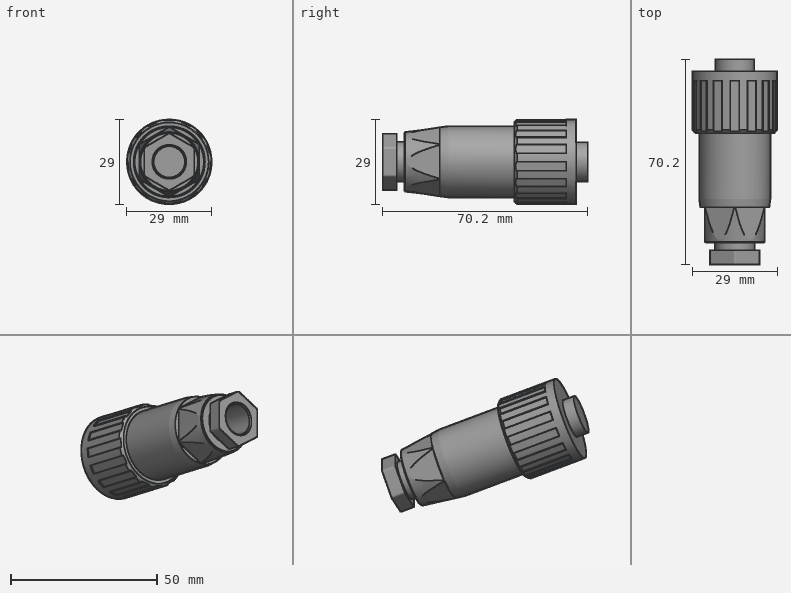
import cadquery as cq
import math

total_length = 70.2

nut_across_flats = 17.0
nut_corner_radius = 1.0
nut_height = 4.9
neck_radius = 6.9
gland_length = 14.05
cable_bore_radius = 5.35
cable_bore_chamfer = 0.5

housing_rear = 7.45
taper_start = 22.45
flats_start = 19.5
housing_radius = 12.2
housing_rear_radius = 10.2
housing_flats_across = 20.65
housing_rear_chamfer = 0.35

ring_rear = 44.9
ring_front = 66.1
ring_diameter = 29.0
ring_radius = ring_diameter / 2
ring_chamfer = 1.05
slot_count = 15
slot_front = 62.75
slot_width = 3.1
slot_depth = 0.4

insert_radius = 6.75


def cylinder(radius, start, end):
    """Cylinder about the Y axis between two Y positions."""
    return cq.Workplane("XZ", origin=(0, start, 0)).circle(radius).extrude(start - end)


def hexagon(across_flats, start, end):
    """Hexagonal prism about the Y axis, with two flats facing +X and -X."""
    across_corners = across_flats / math.cos(math.pi / 6)
    workplane = cq.Workplane("XZ", origin=(0, start, 0)).transformed(rotate=(0, 0, 30))
    return workplane.polygon(6, across_corners).extrude(start - end)


def make_gland_nut():
    head = hexagon(nut_across_flats, 0, nut_height).edges("|Y").fillet(nut_corner_radius)
    neck = cylinder(neck_radius, nut_height, gland_length)
    bore = cylinder(cable_bore_radius, 0, gland_length)
    rim = cq.Workplane("XZ").circle(cable_bore_radius + cable_bore_chamfer)
    rim = rim.extrude(-cable_bore_chamfer, taper=45)
    return head.union(neck).cut(bore).cut(rim)


def make_housing():
    profile = [
        (0, housing_rear),
        (housing_rear_radius, housing_rear),
        (housing_radius, taper_start),
        (housing_radius, ring_rear),
        (0, ring_rear),
    ]
    body = cq.Workplane("XY").polyline(profile).close().revolve(360, (0, 0, 0), (0, 1, 0))
    body = body.faces("<Y").edges().chamfer(housing_rear_chamfer)
    waste = cylinder(2 * housing_radius, housing_rear, flats_start)
    waste = waste.cut(hexagon(housing_flats_across, housing_rear, flats_start))
    neck_socket = cylinder(neck_radius, housing_rear, gland_length)
    return body.cut(waste).cut(neck_socket)


def make_coupling_ring():
    ring = cylinder(ring_radius, ring_rear, ring_front).faces("<Y").edges().chamfer(ring_chamfer)
    ring = ring.cut(cylinder(insert_radius, ring_rear, ring_front))
    slot_length = slot_front - ring_rear
    slot = (
        cq.Workplane("XY")
        .box(slot_width, slot_length, 2 * slot_depth)
        .translate((0, ring_rear + slot_length / 2, ring_radius))
    )
    for index in range(slot_count):
        ring = ring.cut(slot.rotate((0, 0, 0), (0, 1, 0), index * 360 / slot_count))
    return ring


def make_contact_insert():
    return cylinder(insert_radius, ring_rear, total_length)


gland_nut = make_gland_nut()
housing = make_housing()
coupling_ring = make_coupling_ring()
contact_insert = make_contact_insert()

result = cq.Compound.makeCompound(
    [gland_nut.val(), housing.val(), coupling_ring.val(), contact_insert.val()]
)